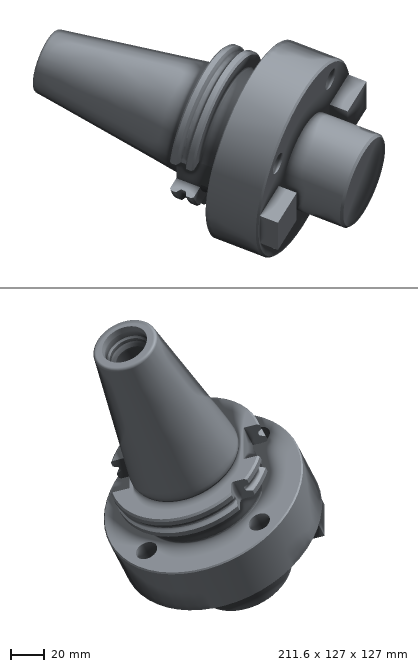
import cadquery as cq
import math


GAUGE_DIAMETER = 69.85
TAPER_LENGTH = 101.6
TAPER_RATIO = 7 / 24
NOSE_ROUND = 2.0
TAPER_BLEND_LENGTH = 0.65
COLLAR_LENGTH = 1.8
RELIEF_DEPTH = 0.5

FLANGE_START = 3.18
FLANGE_END = 19.05
FLANGE_DIAMETER = 98.43
FLANGE_CHAMFER = 1.2
GROOVE_CENTER = 11.1
GROOVE_WIDTH = 6.8
GROOVE_DEPTH = 3.2
GROOVE_FLANK_ANGLE = 30.0
GROOVE_FLOOR_FILLET = 1.0

NECK_DIAMETER = 78.0
NECK_FILLET = 1.0
PLATE_START = 35.0
PLATE_END = 70.0
PLATE_DIAMETER = 127.0
PLATE_FRONT_CHAMFER = 1.2
PLATE_BACK_CHAMFER = 0.8
PILOT_END = 110.0
PILOT_DIAMETER = 60.0
PILOT_CHAMFER = 1.5

SLOT_WIDTH = 26.0
SLOT_FLOOR_POS_Y = 35.3
SLOT_FLOOR_NEG_Y = 37.6
NOTCH_OFFSET = 29.6
NOTCH_FILLET = 2.2

KEY_WIDTH = 26.0
KEY_HEIGHT = 12.0
KEY_INNER = 34.7
KEY_OUTER = 60.3

BOLT_CIRCLE_DIAMETER = 101.6
BOLT_HOLE_DIAMETER = 13.5
BOLT_HOLE_COUNT = 4
FIRST_BOLT_ANGLE = 45.0

BORE_MOUTH_DIAMETER = 28.7
MOUTH_CONE_DEPTH = 4.0
COUNTERBORE_DIAMETER = 27.6
COUNTERBORE_DEPTH = 8.0
COUNTERBORE_FLOOR_TAPER_LENGTH = 0.9
PILOT_BORE_DIAMETER = 25.2
PILOT_BORE_DEPTH = 11.3
THREAD_MOUTH_DIAMETER = 23.7
THREAD_MOUTH_DEPTH = 12.1
THREAD_DIAMETER = 21.0
THREAD_START_DEPTH = 13.9
THREAD_DEPTH = 45.0
DRILL_POINT_ANGLE = 118.0


def revolve_about_x(outline):
    return outline.close().revolve(360, (0, 0, 0), (1, 0, 0))


def turned_body():
    nose_x = -TAPER_LENGTH
    gauge_radius = GAUGE_DIAMETER / 2
    nose_radius = gauge_radius - TAPER_LENGTH * TAPER_RATIO / 2
    taper_half_angle = math.atan(TAPER_RATIO / 2)
    blend_start = (
        -TAPER_BLEND_LENGTH * math.cos(taper_half_angle),
        gauge_radius - TAPER_BLEND_LENGTH * math.sin(taper_half_angle),
    )
    blend_end = (TAPER_BLEND_LENGTH, gauge_radius)
    relief_radius = gauge_radius - RELIEF_DEPTH
    flange_radius = FLANGE_DIAMETER / 2
    groove_radius = flange_radius - GROOVE_DEPTH
    groove_half_top = GROOVE_WIDTH / 2
    flank_angle = math.radians(GROOVE_FLANK_ANGLE)
    groove_half_floor = groove_half_top - GROOVE_DEPTH * math.tan(flank_angle)
    fillet_reach = GROOVE_FLOOR_FILLET * math.tan((math.pi / 2 - flank_angle) / 2)
    fillet_half_floor = groove_half_floor - fillet_reach
    fillet_half_top = groove_half_floor + fillet_reach * math.sin(flank_angle)
    fillet_top_radius = groove_radius + fillet_reach * math.cos(flank_angle)
    neck_radius = NECK_DIAMETER / 2
    plate_radius = PLATE_DIAMETER / 2
    pilot_radius = PILOT_DIAMETER / 2
    diagonal = NECK_FILLET * (1 - math.sqrt(0.5))
    outline = (
        cq.Workplane("XY")
        .moveTo(nose_x, 0)
        .lineTo(nose_x, nose_radius)
        .lineTo(*blend_start)
        .tangentArcPoint(blend_end, relative=False)
        .lineTo(COLLAR_LENGTH, gauge_radius)
        .lineTo(FLANGE_START, relief_radius)
        .lineTo(FLANGE_START, flange_radius - FLANGE_CHAMFER)
        .lineTo(FLANGE_START + FLANGE_CHAMFER, flange_radius)
        .lineTo(GROOVE_CENTER - groove_half_top, flange_radius)
        .lineTo(GROOVE_CENTER - fillet_half_top, fillet_top_radius)
        .tangentArcPoint((GROOVE_CENTER - fillet_half_floor, groove_radius), relative=False)
        .lineTo(GROOVE_CENTER + fillet_half_floor, groove_radius)
        .tangentArcPoint((GROOVE_CENTER + fillet_half_top, fillet_top_radius), relative=False)
        .lineTo(GROOVE_CENTER + groove_half_top, flange_radius)
        .lineTo(FLANGE_END - FLANGE_CHAMFER, flange_radius)
        .lineTo(FLANGE_END, flange_radius - FLANGE_CHAMFER)
        .lineTo(FLANGE_END, neck_radius + NECK_FILLET)
        .threePointArc(
            (FLANGE_END + diagonal, neck_radius + diagonal),
            (FLANGE_END + NECK_FILLET, neck_radius),
        )
        .lineTo(PLATE_START - NECK_FILLET, neck_radius)
        .threePointArc(
            (PLATE_START - diagonal, neck_radius + diagonal),
            (PLATE_START, neck_radius + NECK_FILLET),
        )
        .lineTo(PLATE_START, plate_radius - PLATE_BACK_CHAMFER)
        .lineTo(PLATE_START + PLATE_BACK_CHAMFER, plate_radius)
        .lineTo(PLATE_END - PLATE_FRONT_CHAMFER, plate_radius)
        .lineTo(PLATE_END, plate_radius - PLATE_FRONT_CHAMFER)
        .lineTo(PLATE_END, pilot_radius)
        .lineTo(PILOT_END - PILOT_CHAMFER, pilot_radius)
        .lineTo(PILOT_END, pilot_radius - PILOT_CHAMFER)
        .lineTo(PILOT_END, 0)
    )
    return revolve_about_x(outline).faces("<X").edges().fillet(NOSE_ROUND)


def drawbar_bore():
    counterbore_radius = COUNTERBORE_DIAMETER / 2
    pilot_bore_radius = PILOT_BORE_DIAMETER / 2
    thread_radius = THREAD_DIAMETER / 2
    point_depth = THREAD_DEPTH + thread_radius / math.tan(math.radians(DRILL_POINT_ANGLE / 2))
    outline = (
        cq.Workplane("XY")
        .moveTo(0, 0)
        .lineTo(0, BORE_MOUTH_DIAMETER / 2)
        .lineTo(MOUTH_CONE_DEPTH, counterbore_radius)
        .lineTo(COUNTERBORE_DEPTH, counterbore_radius)
        .lineTo(COUNTERBORE_DEPTH + COUNTERBORE_FLOOR_TAPER_LENGTH, pilot_bore_radius)
        .lineTo(PILOT_BORE_DEPTH, pilot_bore_radius)
        .lineTo(THREAD_MOUTH_DEPTH, THREAD_MOUTH_DIAMETER / 2)
        .lineTo(THREAD_START_DEPTH, thread_radius)
        .lineTo(THREAD_DEPTH, thread_radius)
        .lineTo(point_depth, 0)
    )
    return revolve_about_x(outline).translate((-TAPER_LENGTH, 0, 0))


def block(x_range, y_range, z_range):
    sizes = [high - low for low, high in (x_range, y_range, z_range)]
    corner = (x_range[0], y_range[0], z_range[0])
    return cq.Workplane("XY").box(*sizes, centered=False).translate(corner)


def drive_slots():
    half_width = SLOT_WIDTH / 2
    x_range = (FLANGE_START, PLATE_START)
    z_range = (-half_width, half_width)
    pos_slot = block(x_range, (SLOT_FLOOR_POS_Y, FLANGE_DIAMETER), z_range)
    neg_slot = block(x_range, (-FLANGE_DIAMETER, -SLOT_FLOOR_NEG_Y), z_range)
    return pos_slot.union(neg_slot)


def neck_flat():
    """Flat across the whole +Y side of the neck, level with the slot floor there."""
    half_width = NECK_DIAMETER / 2
    y_range = (SLOT_FLOOR_POS_Y, NECK_DIAMETER)
    return block((FLANGE_END, PLATE_START), y_range, (-half_width, half_width))


def orientation_notch():
    x_range = (FLANGE_START, FLANGE_END)
    reach = (-FLANGE_DIAMETER, -NOTCH_OFFSET)
    return block(x_range, reach, reach).edges("|X and >Y and >Z").fillet(NOTCH_FILLET)


def drive_key(side):
    half_width = KEY_WIDTH / 2
    y_range = sorted((side * KEY_INNER, side * KEY_OUTER))
    return block((PLATE_END, PLATE_END + KEY_HEIGHT), y_range, (-half_width, half_width))


def bolt_holes():
    return (
        cq.Workplane("YZ")
        .workplane(offset=PLATE_START)
        .polarArray(BOLT_CIRCLE_DIAMETER / 2, FIRST_BOLT_ANGLE, 360, BOLT_HOLE_COUNT)
        .circle(BOLT_HOLE_DIAMETER / 2)
        .extrude(PLATE_END - PLATE_START)
    )


body = turned_body()
for key_side in (1, -1):
    body = body.union(drive_key(key_side))
for cutter in (drawbar_bore(), drive_slots(), neck_flat(), orientation_notch(), bolt_holes()):
    body = body.cut(cutter)

result = body